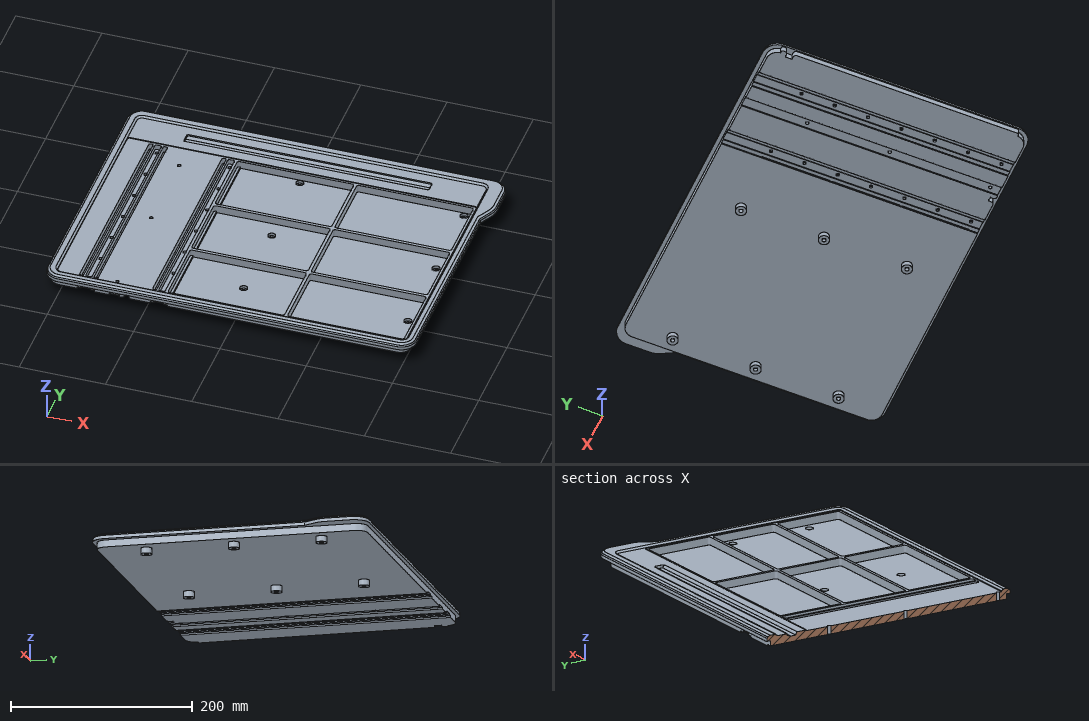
import cadquery as cq
import math


total_length = 438.5
tray_length = 428.0
tray_width = 317.0
total_height = 21.5

foot_height = 6.5
rim_thickness = 7.0
recess_depth = 2.0
work_step = 1.0
floor_thickness = 2.5

body_bottom = foot_height
rim_bottom = total_height - rim_thickness
header_level = total_height - recess_depth
work_level = header_level - work_step
cell_floor = body_bottom + floor_thickness

corner_radius = 17.5
rim_edge_profile = ((0, 5.0), (0.2, 3.3), (1.5, 1.8), (4.0, 0))
body_inset = 5.0
body_right_inset = 6.0
tab_straight_end = 45.5
tab_arc_radius = 26.5
tab_arc_angle = math.radians(28)

recess_left = 10.0
recess_right = 8.8
recess_back = 11.5
recess_front = 9.5
recess_radius = 8.5
recess_taper = 2.0
work_back_margin = 51.5
work_radius = 3.0

pen_slot_left = 73.0
pen_slot_length = 284.0
pen_slot_width = 12.5
pen_slot_back_margin = 26.5
pen_slot_depth = 3.5
pen_slot_radius = 2.0
pen_slot_front_slope = 1.8
pen_slot_back_ledge = 1.8
pen_slot_back_slope = 4.5

cell_back_margin = 54.0
cell_front_margin = 15.0
cell_gap = 3.5
cell_rows = 3
cell_columns = 2
cell_left = 140.5
cell_length = 135.0
cell_radius = 2.5

rail_centers = (48.5, 133.5)
side_groove_offset = 8.5
side_groove_width = 5.0
center_groove_width = 7.5
groove_radius = 1.8
channel_width = 20.0
channel_depth = 1.8
channel_core_width = 10.5
channel_core_depth = 3.0
rail_hole_diameter = 3.5
rail_hole_count = 7
rail_hole_back_margin = 60.0
rail_hole_span = 240.0
rail_hole_pitch = rail_hole_span / (rail_hole_count - 1)

strip_x = 81.5
strip_channel_width = 12.0
strip_hole_diameter = 3.5
strip_hole_back_margins = (81.0, 180.2, 301.0)

foot_diameter = 12.3
foot_xs = (214.0, 404.5)
foot_back_margin = 58.8
foot_pitch = 99.5
foot_rows = 3
foot_bore_diameter = 8.8
foot_bore_depth = 3.5
foot_hole_diameter = 4.5

block_left = 1.5
block_end_margin = 16.2
block_end_radius = 1.8
notch_depth = 6.5
side_notch_front = 286.0
side_notch_length = 8.0
front_notch_left = 93.0
front_notch_length = 5.0
notch_mouth_radius = 3.5
selection_margin = 0.5

cell_span_y = tray_width - cell_back_margin - cell_front_margin
cell_width = (cell_span_y - (cell_rows - 1) * cell_gap) / cell_rows
ledge_level = cell_floor + channel_depth
center_groove_level = cell_floor + channel_core_depth


def box(left, front, bottom, length, width, height):
    """Plain block given by its lower front-left corner."""
    return cq.Workplane("XY").box(length, width, height, centered=False).translate((left, front, bottom))


def rounded_box(left, front, bottom, length, width, height, radius):
    """Block with rounded vertical edges."""
    return box(left, front, bottom, length, width, height).edges("|Z").fillet(radius)


def cylinders(points, diameter, bottom, top):
    """Upright cylinders at the given points, for holes and posts."""
    return (
        cq.Workplane("XY", origin=(0, 0, bottom))
        .pushPoints(points)
        .circle(diameter / 2)
        .extrude(top - bottom)
    )


def rim_outline(level):
    """Tray outline with the grip tab at the back-right corner."""
    arc_start_y = tray_width - tab_straight_end

    def on_tab_arc(angle):
        return (
            total_length - tab_arc_radius * (1 - math.cos(angle)),
            arc_start_y - tab_arc_radius * math.sin(angle),
        )

    arc_end = on_tab_arc(tab_arc_angle)
    neck_y = arc_end[1] - (arc_end[0] - tray_length) / math.tan(tab_arc_angle)
    return (
        cq.Workplane("XY", origin=(0, 0, level))
        .moveTo(corner_radius, 0)
        .lineTo(tray_length - corner_radius, 0)
        .radiusArc((tray_length, corner_radius), -corner_radius)
        .lineTo(tray_length, neck_y)
        .lineTo(*arc_end)
        .threePointArc(on_tab_arc(tab_arc_angle / 2), on_tab_arc(0))
        .lineTo(total_length, tray_width - corner_radius)
        .radiusArc((total_length - corner_radius, tray_width), -corner_radius)
        .lineTo(corner_radius, tray_width)
        .radiusArc((0, tray_width - corner_radius), -corner_radius)
        .lineTo(0, corner_radius)
        .radiusArc((corner_radius, 0), -corner_radius)
        .close()
    )


def make_rim():
    """Top plate whose upper edge is rounded off by narrow sloped bands."""
    rim = rim_outline(rim_bottom).extrude(rim_thickness - rim_edge_profile[0][1])
    for (inset, drop), (next_inset, next_drop) in zip(rim_edge_profile, rim_edge_profile[1:]):
        outline = rim_outline(total_height - drop)
        if inset > 0:
            outline = outline.offset2D(-inset)
        slope = math.degrees(math.atan2(next_inset - inset, drop - next_drop))
        rim = rim.union(outline.extrude(drop - next_drop, taper=slope))
    return rim


def make_body():
    """Lower body with a block along its left wall and two round-mouthed notches."""
    height = rim_bottom - body_bottom
    body = rounded_box(
        body_inset, body_inset, body_bottom,
        tray_length - body_inset - body_right_inset, tray_width - 2 * body_inset, height,
        corner_radius - body_inset,
    )
    block = box(
        block_left, block_end_margin, body_bottom,
        corner_radius, tray_width - 2 * block_end_margin, height,
    )
    body = body.union(block.edges("|Z and <X").fillet(block_end_radius))

    side_notch = box(0, side_notch_front, body_bottom, block_left + notch_depth, side_notch_length, height)
    front_notch = box(front_notch_left, 0, body_bottom, front_notch_length, body_inset + notch_depth, height)
    body = body.cut(side_notch).cut(front_notch)

    side_notch_back = side_notch_front + side_notch_length
    side_mouth = cq.selectors.BoxSelector(
        (block_left - selection_margin, side_notch_front - selection_margin, 0),
        (block_left + selection_margin, side_notch_back + selection_margin, total_height),
    )
    front_notch_right = front_notch_left + front_notch_length
    front_mouth = cq.selectors.BoxSelector(
        (front_notch_left - selection_margin, body_inset - selection_margin, 0),
        (front_notch_right + selection_margin, body_inset + selection_margin, total_height),
    )
    for mouth in (side_mouth, front_mouth):
        body = body.edges("|Z").edges(mouth).fillet(notch_mouth_radius)
    return body


def make_recess():
    """Shallow sloped-wall recess plus the slightly lower work surface."""
    length = tray_length - recess_left - recess_right
    width = tray_width - recess_front - recess_back
    recess = (
        cq.Workplane("XY", origin=(recess_left + length / 2, recess_front + width / 2, total_height))
        .sketch().rect(length, width).vertices().fillet(recess_radius).finalize()
        .extrude(-recess_depth, taper=math.degrees(math.atan2(recess_taper, recess_depth)))
    )
    work_front = recess_front + recess_taper
    work = rounded_box(
        recess_left + recess_taper, work_front, work_level,
        length - 2 * recess_taper, tray_width - work_back_margin - work_front, work_step,
        work_radius,
    )
    return recess.union(work)


def make_pen_slot():
    """Trough with a sloped front wall and a back wall that is upright, then sloped."""
    back = tray_width - pen_slot_back_margin
    front = back - pen_slot_width
    slot_floor = header_level - pen_slot_depth
    trough = (
        cq.Workplane("YZ", origin=(pen_slot_left, 0, 0))
        .moveTo(front, header_level)
        .lineTo(front + pen_slot_front_slope, slot_floor)
        .lineTo(back - pen_slot_back_slope, slot_floor)
        .lineTo(back, header_level - pen_slot_back_ledge)
        .lineTo(back, header_level)
        .close()
        .extrude(pen_slot_length)
    )
    return trough.intersect(rounded_box(
        pen_slot_left, front, slot_floor,
        pen_slot_length, pen_slot_width, pen_slot_depth, pen_slot_radius,
    ))


def make_cells():
    """Grid of deep cells; the first column keeps a ledge above the rail channel."""
    cells = cq.Workplane("XY")
    for column in range(cell_columns):
        for row in range(cell_rows):
            cells = cells.add(rounded_box(
                cell_left + column * (cell_length + cell_gap),
                cell_front_margin + row * (cell_width + cell_gap),
                cell_floor, cell_length, cell_width, work_level - cell_floor, cell_radius,
            ))
    ledge_end = rail_centers[1] + channel_width / 2
    ledge = box(cell_left, cell_front_margin, cell_floor, ledge_end - cell_left, cell_span_y, channel_depth)
    return cells.combine().cut(ledge)


def make_groove(center_x, width, floor):
    """Round-cornered groove in the work surface, as long as the cell grid."""
    return rounded_box(
        center_x - width / 2, cell_front_margin, floor,
        width, cell_span_y, work_level - floor, groove_radius,
    )


def make_channel(center_x, width, depth):
    """Channel across the underside from front to back."""
    return box(center_x - width / 2, 0, body_bottom, width, tray_width, depth)


def cut_rails(part):
    """Cut the grooves, underside channels and screw holes of both rails."""
    for center_x in rail_centers:
        part = part.cut(make_channel(center_x, channel_width, channel_depth))
        part = part.cut(make_channel(center_x, channel_core_width, channel_core_depth))
        part = part.cut(make_groove(center_x, center_groove_width, center_groove_level))
        part = part.cut(make_groove(center_x - side_groove_offset, side_groove_width, ledge_level))
        points = [
            (center_x, tray_width - rail_hole_back_margin - i * rail_hole_pitch)
            for i in range(rail_hole_count)
        ]
        part = part.cut(cylinders(points, rail_hole_diameter, body_bottom, work_level))
    return part.cut(make_groove(rail_centers[0] + side_groove_offset, side_groove_width, ledge_level))


foot_points = [
    (x, tray_width - foot_back_margin - row * foot_pitch)
    for x in foot_xs
    for row in range(foot_rows)
]
strip_points = [(strip_x, tray_width - margin) for margin in strip_hole_back_margins]

result = make_rim().union(make_body())
result = result.cut(make_recess()).cut(make_pen_slot()).cut(make_cells())
result = cut_rails(result)
result = result.cut(make_channel(strip_x, strip_channel_width, channel_depth))
result = result.cut(cylinders(strip_points, strip_hole_diameter, body_bottom, work_level))
result = result.union(cylinders(foot_points, foot_diameter, 0, cell_floor))
result = result.cut(cylinders(foot_points, foot_bore_diameter, cell_floor - foot_bore_depth, cell_floor))
result = result.cut(cylinders(foot_points, foot_hole_diameter, 0, cell_floor))